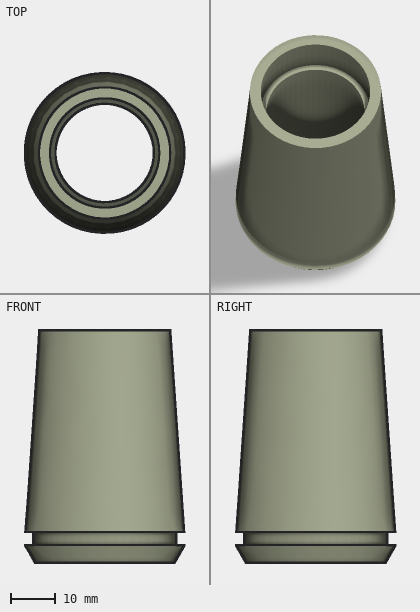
import cadquery as cq

total_height = 52.0
flange_height = 3.95
groove_top = 6.85
counterbore_depth = 8.95

flange_bottom_radius = 15.6
flange_top_diameter = 35.7
flange_top_radius = flange_top_diameter / 2
groove_radius = 16.0
body_bottom_radius = 17.8
body_top_radius = 14.65

bore_radius = 10.95
counterbore_radius = 12.2

counterbore_floor = total_height - counterbore_depth

profile = (
    cq.Workplane("XZ")
    .moveTo(bore_radius, 0)
    .lineTo(flange_bottom_radius, 0)
    .lineTo(flange_top_radius, flange_height)
    .lineTo(groove_radius, flange_height)
    .lineTo(groove_radius, groove_top)
    .lineTo(body_bottom_radius, groove_top)
    .lineTo(body_top_radius, total_height)
    .lineTo(counterbore_radius, total_height)
    .lineTo(counterbore_radius, counterbore_floor)
    .lineTo(bore_radius, counterbore_floor)
    .close()
)

result = profile.revolve(360, (0, 0, 0), (0, 1, 0))